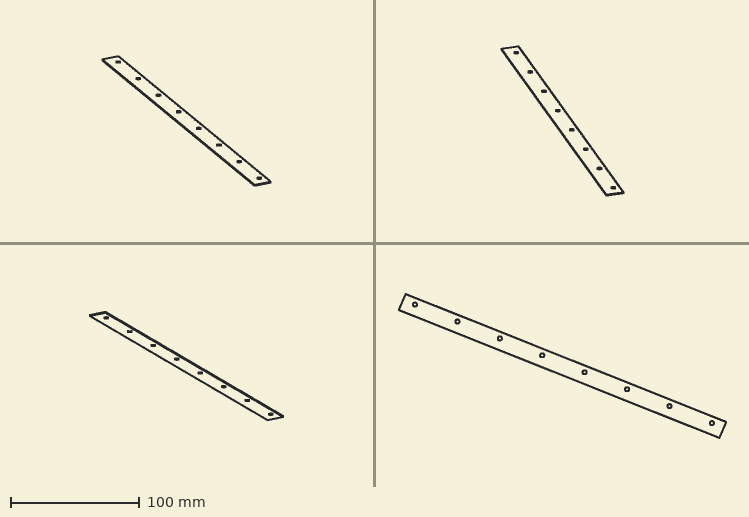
import cadquery as cq

length = 270.0
width = 14.0
thickness = 1.0

hole_count = 8
hole_diameter = 3.2
end_margin = 10.0
edge_margin = 5.0
hole_pitch = (length - 2 * end_margin) / (hole_count - 1)
hole_row_y = width / 2 - edge_margin

strip = cq.Workplane("XY").box(length, width, thickness)

result = (
    strip.faces(">Z")
    .workplane(origin=(0, 0, 0))
    .center(0, hole_row_y)
    .rarray(hole_pitch, 2.7, hole_count, 1)
    .hole(hole_diameter)
)